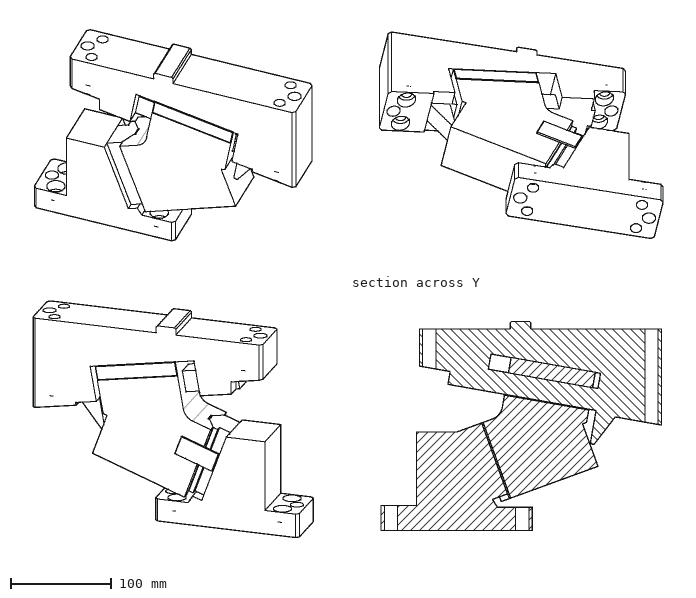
import cadquery as cq
import math

WIDTH = 50.0
HALF_WIDTH = WIDTH / 2

BASE_LENGTH = 150.0
BASE_LEFT_HEIGHT = 25.0
BASE_RIGHT_HEIGHT = 23.5
PILLAR_X = 35.0
PILLAR_TOP_Z = 98.0
LEDGE_WIDTH = 10.2
LEDGE_END_ANGLE = 58.0

SLIDE_TILT = 20.0
SLIDE_X = 75.4
GUIDE_LENGTH = 75.0
GUIDE_WIDTH = 36.0
GUIDE_SIDE_HEIGHT = 16.7
GUIDE_TOP_WIDTH = 9.0
GUIDE_TOP_HEIGHT = 26.0
GUIDE_GROOVE_WIDTH = 6.0
GUIDE_GROOVE_HEIGHT = 12.0
RIDGE_CLEARANCE = 1.3

HOLDER_LEFT_X = 38.0
HOLDER_RIGHT_X = 278.0
HOLDER_TOP_Z = 200.0
HOLDER_LEFT_BOTTOM_Z = 163.0
HOLDER_STEP_X = 70.2
KEY_LEFT_X = 128.0
KEY_WIDTH = 20.5
KEY_HEIGHT = 7.5
KEY_CHAMFER = 1.5

POCKET_TILT = 10.0
POCKET_X = 109.1
POCKET_Z = 174.9
POCKET_LENGTH = 110.0
POCKET_DEPTH = 37.0
LOWER_STEP = 3.0
BAR_WIDTH = 20.0
BAR_HEIGHT = 22.0
BAR_START = -37.0
BAR_END = 132.0
HOOK_START = 112.0
HOOK_DROP = 33.5
HOOK_TIP_WIDTH = 4.0
HOOK_TIP_RADIUS = 1.5

SLIDER_GAP = 20.0
HEAD_LENGTH = 85.0
SLIDER_FACE_HEIGHT = 17.4
SLIDER_LENGTH = 80.0
SLIDER_BACK_HEIGHT = 119.6
SLIDER_NOTCH = 35.2
NECK_RADIUS = 15.0
WEAR_PLATE_HEIGHT = POCKET_DEPTH - BAR_HEIGHT
WEAR_PLATE_CHAMFER = 0.7
TUNNEL_CLEARANCE = 0.5
RETAINER_LENGTH = 41.0
RETAINER_WIDTH = 20.0
RETAINER_THICKNESS = 2.0
RETAINER_SIDE_GAP = 1.0
RETAINER_DROP = 20.0

CORNER_CHAMFER = 3.0
DOWEL_DIAMETER = 13.0
DOWEL_INSET = 10.0
BOLT_DIAMETER = 11.0
BOLT_INSET = 20.0
BOLT_SPACING = 30.0
BOLT_HEAD_DIAMETER = 18.0
BOLT_HEAD_DEPTH = 11.0

slide_cos = math.cos(math.radians(SLIDE_TILT))
slide_sin = math.sin(math.radians(SLIDE_TILT))
pocket_cos = math.cos(math.radians(POCKET_TILT))
pocket_sin = math.sin(math.radians(POCKET_TILT))


def slide_point(height, drop):
    """XZ point at a height off the base's slide face and a drop below the slide's top end."""
    x = SLIDE_X + height * slide_cos + drop * slide_sin
    z = PILLAR_TOP_Z + height * slide_sin - drop * slide_cos
    return (x, z)


def pocket_point(along, depth):
    """XZ point a distance along the pocket ceiling and a depth below it."""
    x = POCKET_X + along * pocket_cos - depth * pocket_sin
    z = POCKET_Z - along * pocket_sin - depth * pocket_cos
    return (x, z)


def pocket_z_at(x, depth):
    """Z, at a given X, of the line parallel to the pocket ceiling at a given depth."""
    line_x, line_z = pocket_point(0, depth)
    return line_z - (x - line_x) * pocket_sin / pocket_cos


def crossing(start_a, end_a, start_b, end_b):
    """Point where the line through the first two points meets the line through the last two."""
    ax, az = end_a[0] - start_a[0], end_a[1] - start_a[1]
    bx, bz = end_b[0] - start_b[0], end_b[1] - start_b[1]
    gap_x, gap_z = start_b[0] - start_a[0], start_b[1] - start_a[1]
    share = (gap_x * bz - gap_z * bx) / (ax * bz - az * bx)
    return (start_a[0] + share * ax, start_a[1] + share * az)


def slab(points, width=WIDTH):
    """Prism of an XZ outline, centred on Y = 0."""
    return cq.Workplane("XZ").polyline(points).close().extrude(width / 2, both=True)


def pocket_block(start, end, top, bottom, width):
    """Block aligned with the pocket, between two distances along it and two depths."""
    corners = [(start, top), (end, top), (end, bottom), (start, bottom)]
    return slab([pocket_point(*corner) for corner in corners], width)


def slide_prism(points, length):
    """Prism of a (Y, height) section that runs down the slide from its top end."""
    start_x, start_z = slide_point(0, 0)
    plane = cq.Plane((start_x, 0, start_z), xDir=(0, 1, 0), normal=(slide_sin, 0, -slide_cos))
    return cq.Workplane(plane).polyline(points).close().extrude(length)


def cylinder(diameter, x, y, bottom, top):
    """Upright cylinder between two Z levels."""
    plane = cq.Workplane("XY", origin=(x, y, bottom))
    return plane.circle(diameter / 2).extrude(top - bottom)


def dowel_and_bolt_holes(end_x, inward, bottom, top):
    """One dowel hole and two bolt holes near the end at end_x; inward is +1 or -1."""
    holes = cylinder(DOWEL_DIAMETER, end_x + inward * DOWEL_INSET, 0, bottom, top)
    for side in (-1, 1):
        y = side * BOLT_SPACING / 2
        holes = holes.union(cylinder(BOLT_DIAMETER, end_x + inward * BOLT_INSET, y, bottom, top))
    return holes


def bolt_head_recesses(x, bottom, top):
    """Recesses for the heads of the two bolts at a given X."""
    front = cylinder(BOLT_HEAD_DIAMETER, x, -BOLT_SPACING / 2, bottom, top)
    back = cylinder(BOLT_HEAD_DIAMETER, x, BOLT_SPACING / 2, bottom, top)
    return front.union(back)


def make_guide():
    """Roof-shaped guide of the base, with a groove along its +Y side."""
    half_width = GUIDE_WIDTH / 2
    half_top = GUIDE_TOP_WIDTH / 2
    groove_y = half_width - GUIDE_GROOVE_WIDTH
    section = [
        (-half_width, 0),
        (groove_y, 0),
        (groove_y, GUIDE_GROOVE_HEIGHT),
        (half_width, GUIDE_GROOVE_HEIGHT),
        (half_width, GUIDE_SIDE_HEIGHT),
        (half_top, GUIDE_TOP_HEIGHT),
        (-half_top, GUIDE_TOP_HEIGHT),
        (-half_width, GUIDE_SIDE_HEIGHT),
    ]
    return slide_prism(section, GUIDE_LENGTH)


def make_base():
    """Base plate and pillar with the tilted slide face, plus the guide."""
    ledge_x, ledge_z = slide_point(LEDGE_WIDTH, GUIDE_LENGTH)
    ledge_drop = ledge_z - BASE_RIGHT_HEIGHT
    flank_foot_x = ledge_x + ledge_drop / math.tan(math.radians(LEDGE_END_ANGLE))
    body = slab([
        (0, 0),
        (BASE_LENGTH, 0),
        (BASE_LENGTH, BASE_RIGHT_HEIGHT),
        (flank_foot_x, BASE_RIGHT_HEIGHT),
        (ledge_x, ledge_z),
        slide_point(0, GUIDE_LENGTH),
        slide_point(0, 0),
        (PILLAR_X, PILLAR_TOP_Z),
        (PILLAR_X, BASE_LEFT_HEIGHT),
        (0, BASE_LEFT_HEIGHT),
    ])
    body = body.edges("|Z and (<X or >X)").chamfer(CORNER_CHAMFER)
    body = body.union(make_guide())
    for end_x, inward, top in ((0, 1, BASE_LEFT_HEIGHT), (BASE_LENGTH, -1, BASE_RIGHT_HEIGHT)):
        body = body.cut(dowel_and_bolt_holes(end_x, inward, 0, top))
        bolt_x = end_x + inward * BOLT_INSET
        body = body.cut(bolt_head_recesses(bolt_x, top - BOLT_HEAD_DEPTH, top))
    return body


def make_hook():
    """Rounded hook that hangs from the right end of the holder's bar."""
    tip_depth = POCKET_DEPTH + HOOK_DROP
    outline = [
        pocket_point(HOOK_START, BAR_HEIGHT),
        pocket_point(BAR_END, BAR_HEIGHT),
        pocket_point(BAR_END, POCKET_DEPTH + LOWER_STEP),
        pocket_point(HOOK_START + HOOK_TIP_WIDTH, tip_depth),
        pocket_point(HOOK_START, tip_depth),
    ]
    tip_x, tip_z = pocket_point(HOOK_START + HOOK_TIP_WIDTH / 2, tip_depth)
    tip_zone = cq.selectors.BoxSelector(
        (tip_x - HOOK_TIP_WIDTH, -BAR_WIDTH, tip_z - HOOK_TIP_WIDTH),
        (tip_x + HOOK_TIP_WIDTH, BAR_WIDTH, tip_z + HOOK_TIP_WIDTH),
    )
    return slab(outline, BAR_WIDTH).edges("|Y").edges(tip_zone).fillet(HOOK_TIP_RADIUS)


def make_holder():
    """Holder with its key on top, its tilted pocket and the bar that crosses the pocket."""
    lower_depth = POCKET_DEPTH + LOWER_STEP
    pocket_slope = pocket_sin / pocket_cos
    step_top_z = HOLDER_LEFT_BOTTOM_Z - (HOLDER_STEP_X - HOLDER_LEFT_X) * pocket_slope
    body = slab([
        (HOLDER_LEFT_X, HOLDER_TOP_Z),
        (HOLDER_LEFT_X, HOLDER_LEFT_BOTTOM_Z),
        (HOLDER_STEP_X, step_top_z),
        (HOLDER_STEP_X, pocket_z_at(HOLDER_STEP_X, POCKET_DEPTH)),
        pocket_point(0, POCKET_DEPTH),
        pocket_point(0, 0),
        pocket_point(POCKET_LENGTH, 0),
        pocket_point(POCKET_LENGTH, POCKET_DEPTH),
        pocket_point(BAR_END, POCKET_DEPTH),
        pocket_point(BAR_END, lower_depth),
        (HOLDER_RIGHT_X, pocket_z_at(HOLDER_RIGHT_X, lower_depth)),
        (HOLDER_RIGHT_X, HOLDER_TOP_Z),
    ])
    body = body.edges("|Z and (<X or >X)").chamfer(CORNER_CHAMFER)

    key_x = KEY_LEFT_X + KEY_WIDTH / 2
    key = cq.Workplane("XY", origin=(key_x, 0, HOLDER_TOP_Z)).rect(KEY_WIDTH, WIDTH).extrude(KEY_HEIGHT)
    body = body.union(key.edges("|Y and >Z").chamfer(KEY_CHAMFER))

    bar = pocket_block(BAR_START, BAR_END, WEAR_PLATE_HEIGHT, POCKET_DEPTH, BAR_WIDTH)
    body = body.union(bar).union(make_hook())

    left_bolt_x = HOLDER_LEFT_X + BOLT_INSET
    left_bottom_z = HOLDER_LEFT_BOTTOM_Z - BOLT_INSET * pocket_slope
    right_bolt_x = HOLDER_RIGHT_X - BOLT_INSET
    right_bottom_z = pocket_z_at(right_bolt_x, lower_depth)
    for end_x, inward in ((HOLDER_LEFT_X, 1), (HOLDER_RIGHT_X, -1)):
        body = body.cut(dowel_and_bolt_holes(end_x, inward, 0, HOLDER_TOP_Z))
    for bolt_x, bottom_z in ((left_bolt_x, left_bottom_z), (right_bolt_x, right_bottom_z)):
        body = body.cut(bolt_head_recesses(bolt_x, 0, bottom_z + BOLT_HEAD_DEPTH))
    return body


def make_slider():
    """Slider with its wear plate on top and its retainer plate on the +Y side."""
    head_right = SLIDER_GAP + HEAD_LENGTH
    top_left = slide_point(SLIDER_FACE_HEIGHT, 0)
    head_left = pocket_point(SLIDER_GAP, WEAR_PLATE_HEIGHT)
    neck = crossing(top_left, slide_point(SLIDER_BACK_HEIGHT, 0),
                    head_left, pocket_point(SLIDER_GAP, POCKET_DEPTH))
    notch_right = crossing(slide_point(0, SLIDER_NOTCH), slide_point(SLIDER_BACK_HEIGHT, SLIDER_NOTCH),
                           pocket_point(head_right, 0), pocket_point(head_right, POCKET_DEPTH))
    body = slab([
        top_left,
        neck,
        head_left,
        pocket_point(head_right, WEAR_PLATE_HEIGHT),
        notch_right,
        slide_point(SLIDER_BACK_HEIGHT, SLIDER_NOTCH),
        slide_point(SLIDER_BACK_HEIGHT, SLIDER_LENGTH),
        slide_point(SLIDER_FACE_HEIGHT, SLIDER_LENGTH),
    ])
    neck_edge = cq.selectors.NearestToPointSelector((neck[0], 0, neck[1]))
    body = body.edges("|Y").edges(neck_edge).fillet(NECK_RADIUS)

    half_top = GUIDE_TOP_WIDTH / 2
    half_width = GUIDE_WIDTH / 2
    groove_section = [
        (-half_width, 0),
        (half_width, 0),
        (half_width, GUIDE_SIDE_HEIGHT),
        (half_top, GUIDE_TOP_HEIGHT),
        (half_top, GUIDE_TOP_HEIGHT + RIDGE_CLEARANCE),
        (-half_top, GUIDE_TOP_HEIGHT + RIDGE_CLEARANCE),
        (-half_top, GUIDE_TOP_HEIGHT),
        (-half_width, GUIDE_SIDE_HEIGHT),
    ]
    body = body.cut(slide_prism(groove_section, SLIDER_LENGTH))

    tunnel_floor = POCKET_DEPTH + TUNNEL_CLEARANCE
    body = body.cut(pocket_block(0, POCKET_LENGTH, WEAR_PLATE_HEIGHT, tunnel_floor, BAR_WIDTH))
    wear_plate = pocket_block(SLIDER_GAP, head_right, 0, WEAR_PLATE_HEIGHT, WIDTH)
    body = body.union(wear_plate.faces("<Y or >Y").edges().chamfer(WEAR_PLATE_CHAMFER))

    near = RETAINER_SIDE_GAP
    far = near + RETAINER_LENGTH
    low = RETAINER_DROP + RETAINER_WIDTH
    corners = [(near, RETAINER_DROP), (far, RETAINER_DROP), (far, low), (near, low)]
    retainer = cq.Workplane("XZ", origin=(0, HALF_WIDTH, 0))
    retainer = retainer.polyline([slide_point(*corner) for corner in corners]).close()
    return body.union(retainer.extrude(-RETAINER_THICKNESS))


base = make_base()
holder = make_holder()
slider = make_slider()

result = cq.Compound.makeCompound([base.solids().val(), holder.solids().val(), slider.solids().val()])